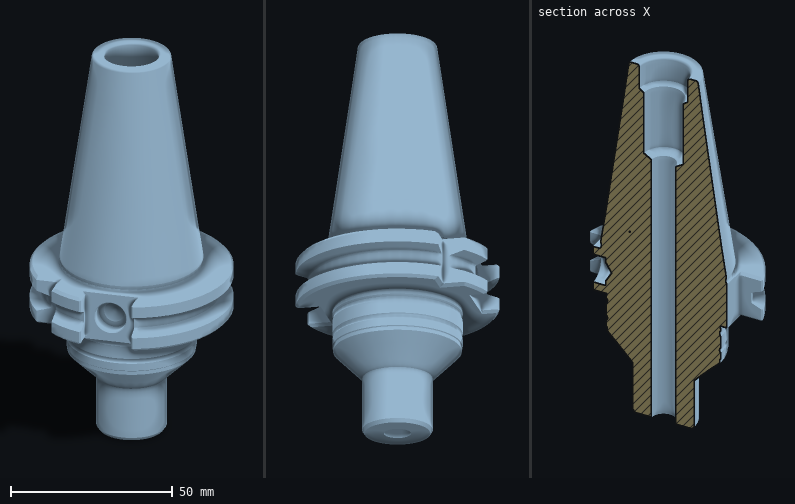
import cadquery as cq
import math

total_height = 127.8
flange_top = 56.5
flange_thickness = 16.0
flange_bottom = flange_top - flange_thickness
flange_middle = flange_top - flange_thickness / 2
gauge_plane = 58.4
nose_top = 18.0

gauge_radius = 22.4
taper_ratio = 7 / 24
taper_tip_radius = gauge_radius - (total_height - gauge_plane) * taper_ratio / 2
tip_fillet = 1.0
neck_radius = 22.1
neck_fillet = 0.8

flange_radius = 63.4 / 2
rim_chamfer = 0.9
v_groove_radius = 55.7 / 2
v_groove_floor_width = 3.8
v_groove_mouth_width = 6.9
v_groove_fillet = 0.6

collar_radius = 40.5 / 2
collar_step_radius = 40.0 / 2
collar_bottom = 28.5
collar_step_chamfer = collar_radius - collar_step_radius
ring_groove_depth = 0.4
ring_groove_bottom = 30.9
ring_groove_top = 32.6
runout_bottom = 36.8
runout_deepest = 38.2
runout_top = 38.8
relief_depth = 0.19
relief_bottom = 39.7

nose_radius = 22.0 / 2
nose_chamfer_width = 0.8
nose_chamfer_height = 1.1

cutter_overrun = 1.3
slot_half_width = 8.0
slot_mouth_chamfer = 0.5
slot_bevel = 0.9
slot_corner_fillet = 0.5
front_slot_floor = -24.9
back_slot_floor = 22.5
notch_wall = 18.8
notch_corner_fillet = 0.4
notch_bevel_width = 1.3

recess_radius = 10.0 / 2
recess_mouth_radius = 10.5 / 2
recess_depth = 4.5
pilot_radius = 6.0 / 2
pilot_mouth_radius = 6.5 / 2
pilot_depth = recess_depth + pilot_mouth_radius - pilot_radius
drill_point_height = 1.8

bore_radius = 8.4 / 2
thread_radius = 13.8 / 2
counterbore_radius = 17.0 / 2
counterbore_depth = 8.7
thread_lead_in = 1.1
thread_depth = 32.0
drill_angle = 118
bore_cone_height = (thread_radius - bore_radius) / math.tan(math.radians(drill_angle / 2))


def revolved(profile):
    """Solid of revolution about Z from a closed half profile in the XZ plane."""
    return profile.close().revolve(360, (0, 0, 0), (0, 1, 0))


def holder_body():
    profile = (
        cq.Workplane("XZ")
        .moveTo(0, 0)
        .lineTo(nose_radius - nose_chamfer_width, 0)
        .lineTo(nose_radius, nose_chamfer_height)
        .lineTo(nose_radius, nose_top)
        .lineTo(collar_step_radius, nose_top + collar_step_radius - nose_radius)
        .lineTo(collar_step_radius, collar_bottom - collar_step_chamfer)
        .lineTo(collar_radius, collar_bottom)
        .lineTo(collar_radius, flange_bottom)
        .lineTo(flange_radius - rim_chamfer, flange_bottom)
        .lineTo(flange_radius, flange_bottom + rim_chamfer)
        .lineTo(flange_radius, flange_top - rim_chamfer)
        .lineTo(flange_radius - rim_chamfer, flange_top)
        .lineTo(neck_radius + neck_fillet, flange_top)
        .radiusArc((neck_radius, flange_top + neck_fillet), neck_fillet)
        .lineTo(neck_radius, gauge_plane)
        .lineTo(gauge_radius, gauge_plane)
        .lineTo(taper_tip_radius, total_height)
        .lineTo(0, total_height)
    )
    return revolved(profile)


def v_groove():
    """Gripper groove round the flange, with rounded floor corners."""
    profile = (
        cq.Workplane("XZ")
        .moveTo(flange_radius, flange_middle - v_groove_mouth_width / 2)
        .lineTo(v_groove_radius, flange_middle - v_groove_floor_width / 2)
        .lineTo(v_groove_radius, flange_middle + v_groove_floor_width / 2)
        .lineTo(flange_radius, flange_middle + v_groove_mouth_width / 2)
    )
    return revolved(profile).edges(cq.selectors.RadiusNthSelector(0)).fillet(v_groove_fillet)


def ring_groove(lower, upper, depth):
    """Shallow groove of circular arc section round the collar."""
    profile = (
        cq.Workplane("XZ")
        .moveTo(collar_radius, lower)
        .threePointArc((collar_radius - depth, (lower + upper) / 2), (collar_radius, upper))
    )
    return revolved(profile)


def runout_groove():
    """Groove with a conical upper flank and an arc that runs out gently below it."""
    drop = runout_deepest - runout_bottom
    arc_radius = (drop**2 + ring_groove_depth**2) / (2 * ring_groove_depth)
    floor_radius = collar_radius - ring_groove_depth
    profile = (
        cq.Workplane("XZ")
        .moveTo(collar_radius, runout_top)
        .lineTo(floor_radius, runout_deepest)
        .radiusArc((collar_radius, runout_bottom), -arc_radius)
    )
    return revolved(profile)


def bore():
    thread_floor = total_height - thread_depth
    profile = (
        cq.Workplane("XZ")
        .moveTo(0, 0)
        .lineTo(bore_radius, 0)
        .lineTo(bore_radius, thread_floor - bore_cone_height)
        .lineTo(thread_radius, thread_floor)
        .lineTo(thread_radius, total_height - counterbore_depth - thread_lead_in)
        .lineTo(counterbore_radius, total_height - counterbore_depth)
        .lineTo(counterbore_radius, total_height)
        .lineTo(0, total_height)
    )
    return revolved(profile)


def drive_slot(floor_y):
    """Slot through the flange, open outwards, with its side wall edges chamfered.

    It reaches up to the gauge plane so that it also trims the flare of the neck fillet.
    """
    side = math.copysign(1, floor_y)
    mouth_half = slot_half_width + slot_mouth_chamfer
    mouth_y = side * math.sqrt(flange_radius**2 - mouth_half**2)
    outer_y = side * (flange_radius + cutter_overrun)
    length = abs(outer_y - floor_y)
    middle_y = (outer_y + floor_y) / 2
    slot = (
        cq.Workplane("XY", origin=(0, middle_y, flange_bottom))
        .rect(2 * slot_half_width, length)
        .extrude(gauge_plane - flange_bottom)
        .edges("|Z and " + ("<Y" if side > 0 else ">Y"))
        .fillet(slot_corner_fillet)
    )
    flare = (
        cq.Workplane("XY", origin=(0, 0, flange_bottom))
        .moveTo(-mouth_half, outer_y)
        .lineTo(-mouth_half, mouth_y)
        .lineTo(-slot_half_width, mouth_y - side * slot_mouth_chamfer)
        .lineTo(slot_half_width, mouth_y - side * slot_mouth_chamfer)
        .lineTo(mouth_half, mouth_y)
        .lineTo(mouth_half, outer_y)
        .close()
        .extrude(flange_thickness)
    )
    slot = slot.union(flare)
    bevel_half = slot_half_width + slot_bevel
    for face_z, inward in ((flange_top, -1), (flange_bottom, 1)):
        edge_bevel = (
            cq.Workplane("XZ", origin=(0, middle_y, 0))
            .moveTo(-bevel_half, face_z)
            .lineTo(bevel_half, face_z)
            .lineTo(slot_half_width, face_z + inward * slot_bevel)
            .lineTo(-slot_half_width, face_z + inward * slot_bevel)
            .close()
            .extrude(length / 2, both=True)
        )
        slot = slot.union(edge_bevel)
    return slot


def orientation_notch():
    """Square corner cut through the flange, with its top and bottom edges chamfered."""
    size = flange_radius - notch_wall + cutter_overrun
    centre = -notch_wall - size / 2
    notch = (
        cq.Workplane("XY", origin=(centre, centre, flange_bottom))
        .rect(size, size)
        .extrude(flange_thickness)
        .edges("|Z and >X and >Y")
        .fillet(notch_corner_fillet)
    )
    bevelled = size + 2 * notch_bevel_width
    for face_z, inward in ((flange_top, -1), (flange_bottom, 1)):
        edge_bevel = (
            cq.Workplane("XY", origin=(centre, centre, face_z))
            .rect(bevelled, bevelled)
            .workplane(offset=inward * rim_chamfer)
            .rect(size, size)
            .loft()
        )
        notch = notch.union(edge_bevel)
    return notch


def slot_recess():
    """Round recess with a pilot drill point, sunk into the front slot floor."""
    profile = (
        cq.Workplane("XY", origin=(0, front_slot_floor, flange_middle))
        .lineTo(recess_mouth_radius, 0)
        .lineTo(recess_radius, recess_mouth_radius - recess_radius)
        .lineTo(recess_radius, recess_depth)
        .lineTo(pilot_mouth_radius, recess_depth)
        .lineTo(pilot_radius, pilot_depth)
        .lineTo(0, pilot_depth + drill_point_height)
        .close()
    )
    return profile.revolve(360, (0, 0, 0), (0, 1, 0))


result = holder_body().cut(v_groove())
result = result.cut(ring_groove(ring_groove_bottom, ring_groove_top, ring_groove_depth))
result = result.cut(runout_groove())
result = result.cut(ring_groove(relief_bottom, flange_bottom, relief_depth))
for slot_floor in (front_slot_floor, back_slot_floor):
    result = result.cut(drive_slot(slot_floor))
result = result.cut(orientation_notch())
result = result.cut(slot_recess())
result = result.cut(bore())
result = result.faces(">Z").edges().fillet(tip_fillet)